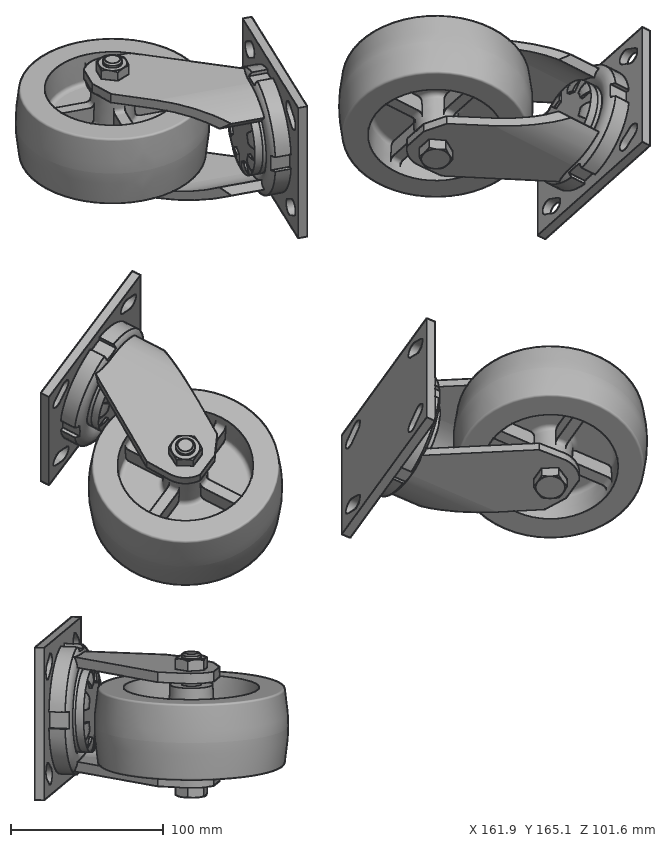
import cadquery as cq
import math


plate_length = 114.3
plate_height = 101.6
plate_thickness = 6.35
slot_width = 11.1125
slot_inner = (38.1, 38.1)
slot_outer = (46.04, 33.34)

race_radius = 42.86
race_wall_end = -17.2
race_crest = -20.6
race_hub_end = -20.9
notch_width = 11.2
notch_flat_distance = 39.8

cap_radius = 55.88 / 2
cap_rim = -26.4
cap_face = -28.1
cap_face_radius = 22.0
cap_shoulder = (25.0, -27.5)
cap_slot_width = 8.9
cap_slot_count = 8
cap_recess_radius = 19.05

wheel_x = -41.275
wheel_y = -101.6
wheel_radius = 63.5
wheel_half_width = 25.4
tread_edge_radius = 61.4
tread_edge_fillet = 1.6
rim_inner_radius = 44.45
web_half_thickness = 3.175
pocket_fillet = 3.175
pocket_draft = 2
hub_radius = 14.1
hub_half_length = 27.3
rib_width = 7.7
rib_half_height = 15.9

axle_radius = 12.7 / 2
hex_flats = 19.05
head_height = 8.4
nut_height = 7.4
axle_tip = 48.4
axle_tip_chamfer = 1.3
hex_chamfer_angle = 30

leg_outer = 76.2 / 2
leg_thickness = 6.75
leg_bend_radius = race_radius
leg_bend_end = 27.7
leg_end_radius = 19.05
leg_foot = wheel_y - 16.9
leg_foot_end_x = -32.2
leg_heel = (-16.8, -110.9)
leg_front_top_y = -42.7
leg_back_corner = (-59.6, -83.0)
leg_back_top = (-18.3, -18.7)


def revolved_about_swivel(profile):
    return profile.close().revolve(360, (0, 0, 0), (0, 1, 0))


def make_plate():
    plate = (
        cq.Workplane("XY")
        .box(plate_length, plate_thickness, plate_height)
        .translate((0, -plate_thickness / 2, 0))
    )
    run = slot_outer[0] - slot_inner[0]
    rise = slot_outer[1] - slot_inner[1]
    slot = (
        cq.Workplane("XZ")
        .slot2D(math.hypot(run, rise) + slot_width, slot_width, math.degrees(math.atan2(rise, run)))
        .extrude(plate_thickness)
        .translate((slot_inner[0] + run / 2, 0, slot_inner[1] + rise / 2))
    )
    for cutter in (slot, slot.mirror("YZ")):
        plate = plate.cut(cutter).cut(cutter.mirror("XY"))
    return plate


def make_raceway():
    crest_radius = (race_radius + cap_radius) / 2
    ring = revolved_about_swivel(
        cq.Workplane("XY")
        .moveTo(0, -plate_thickness)
        .lineTo(race_radius, -plate_thickness)
        .lineTo(race_radius, race_wall_end)
        .threePointArc((crest_radius, race_crest), (cap_radius, race_wall_end))
        .lineTo(cap_radius, race_hub_end)
        .lineTo(0, race_hub_end)
    )
    notch_depth = race_radius - notch_flat_distance
    notch_length = -race_crest
    notch = (
        cq.Workplane("XY")
        .box(2 * notch_depth, 2 * notch_length, notch_width)
        .translate((notch_flat_distance + notch_depth, -plate_thickness, 0))
    )
    for quarter in range(4):
        ring = ring.cut(notch.rotate((0, 0, 0), (0, 1, 0), 90 * quarter))
    return ring


def make_leg():
    """Upper leg (+Z): a bent plate trimmed to the outline of the leg."""
    bend_centre = leg_outer - leg_bend_radius
    end_angle = math.asin(leg_bend_end / leg_bend_radius)

    def on_bend(radius, angle):
        return (radius * math.sin(angle), bend_centre + radius * math.cos(angle))

    inner_radius = leg_bend_radius - leg_thickness
    leg_back = wheel_x - 2 * leg_end_radius
    bent_plate = (
        cq.Workplane("XZ")
        .moveTo(leg_back, leg_outer)
        .lineTo(0, leg_outer)
        .threePointArc(on_bend(leg_bend_radius, end_angle / 2), on_bend(leg_bend_radius, end_angle))
        .lineTo(*on_bend(inner_radius, end_angle))
        .threePointArc(on_bend(inner_radius, end_angle / 2), (0, leg_outer - leg_thickness))
        .lineTo(leg_back, leg_outer - leg_thickness)
        .close()
        .extrude(-leg_foot)
    )
    foot_drop = wheel_y - leg_foot
    foot_start_x = wheel_x - math.sqrt(leg_end_radius**2 - foot_drop**2)
    mid_angle = math.asin(foot_drop / leg_end_radius) / 2
    corner_offset = (wheel_x - leg_back_corner[0], leg_back_corner[1] - wheel_y)
    tangent_angle = math.atan2(corner_offset[1], corner_offset[0]) - math.acos(
        leg_end_radius / math.hypot(*corner_offset)
    )
    end_start = (
        wheel_x - leg_end_radius * math.cos(tangent_angle),
        wheel_y + leg_end_radius * math.sin(tangent_angle),
    )
    end_middle = (
        wheel_x - leg_end_radius * math.cos(mid_angle),
        wheel_y - leg_end_radius * math.sin(mid_angle),
    )
    back_slope = (leg_back_top[0] - leg_back_corner[0]) / (leg_back_top[1] - leg_back_corner[1])
    leg_top_x = leg_back_top[0] + back_slope * (race_wall_end - leg_back_top[1])
    outline = (
        cq.Workplane("XY")
        .moveTo(leg_top_x, race_wall_end)
        .lineTo(*leg_back_corner)
        .lineTo(*end_start)
        .threePointArc(end_middle, (foot_start_x, leg_foot))
        .lineTo(leg_foot_end_x, leg_foot)
        .lineTo(*leg_heel)
        .lineTo(leg_bend_end, leg_front_top_y)
        .lineTo(leg_bend_end, race_wall_end)
        .close()
        .extrude(leg_outer)
    )
    axle_hole = axle_rod(axle_radius, 0, axle_tip)
    return bent_plate.intersect(outline).cut(axle_hole)


def make_fork():
    leg = make_leg()
    return make_raceway().union(leg).union(leg.mirror("XY"))


def make_cap():
    cap = revolved_about_swivel(
        cq.Workplane("XY")
        .moveTo(0, race_hub_end)
        .lineTo(cap_radius, race_hub_end)
        .lineTo(cap_radius, cap_rim)
        .threePointArc(cap_shoulder, (cap_face_radius, cap_face))
        .lineTo(0, cap_face)
    )
    crown_height = cap_rim - cap_face
    recess = (
        cq.Workplane("XZ", origin=(0, cap_rim, 0))
        .circle(cap_recess_radius)
        .extrude(crown_height)
    )
    cap = cap.cut(recess)
    slot = (
        cq.Workplane("XY")
        .box(cap_radius, 2 * crown_height, cap_slot_width)
        .translate((cap_radius, cap_face, 0))
    )
    for step in range(cap_slot_count):
        cap = cap.cut(slot.rotate((0, 0, 0), (0, 1, 0), 360 / cap_slot_count * step))
    return cap


def axle_rod(radius, start, end):
    return (
        cq.Workplane("XY", origin=(wheel_x, wheel_y, start))
        .circle(radius)
        .extrude(end - start)
    )


def hub_radius_at(z):
    return hub_radius + (hub_half_length - z) * math.tan(math.radians(pocket_draft))


def rim_radius_at(z):
    return rim_inner_radius - (wheel_half_width - z) * math.tan(math.radians(pocket_draft))


def revolved_about_axle(profile):
    return profile.close().revolve(360, (0, 0, 0), (0, 1, 0))


def make_pocket(floor):
    """Ring-shaped pocket between hub and rim, open at the side face, with rounded floor corners."""
    pocket = revolved_about_axle(
        cq.Workplane("XZ")
        .moveTo(hub_radius_at(floor), floor)
        .lineTo(rim_radius_at(floor), floor)
        .lineTo(rim_radius_at(hub_half_length), hub_half_length)
        .lineTo(hub_radius, hub_half_length)
    )
    return pocket.faces("<Z").edges().fillet(pocket_fillet)


def make_wheel():
    tread_edge = wheel_half_width - tread_edge_fillet
    crown = wheel_radius - tread_edge_radius
    arc_radius = (tread_edge**2 + crown**2) / (2 * crown)
    middle_z = tread_edge / 2
    middle_radius = wheel_radius - arc_radius + math.sqrt(arc_radius**2 - middle_z**2)

    face_radius = tread_edge_radius - tread_edge_fillet
    diagonal = tread_edge_fillet * math.sqrt(0.5)
    hub_blank_radius = hub_radius + pocket_fillet
    half = revolved_about_axle(
        cq.Workplane("XZ")
        .moveTo(axle_radius, 0)
        .lineTo(axle_radius, hub_half_length)
        .lineTo(hub_blank_radius, hub_half_length)
        .lineTo(hub_blank_radius, wheel_half_width)
        .lineTo(face_radius, wheel_half_width)
        .threePointArc(
            (face_radius + diagonal, tread_edge + diagonal), (tread_edge_radius, tread_edge)
        )
        .threePointArc((middle_radius, middle_z), (wheel_radius, 0))
    )
    deep_pocket = make_pocket(web_half_thickness)
    rib_space = deep_pocket.cut(make_pocket(rib_half_height))
    half = half.cut(deep_pocket)
    for length, width in ((2 * wheel_radius, rib_width), (rib_width, 2 * wheel_radius)):
        bar = cq.Workplane("XY").box(length, width, 2 * wheel_half_width)
        half = half.union(rib_space.intersect(bar))
    return half.union(half.mirror("XY"), clean=False).translate((wheel_x, wheel_y, 0))


def make_hex(height):
    """Hexagon standing on Z = 0, its top corners cut by a cone."""
    corner_radius = hex_flats / math.sqrt(3)
    flat_radius = hex_flats / 2
    drop = (corner_radius - flat_radius) * math.tan(math.radians(hex_chamfer_angle))
    prism = cq.Workplane("XY").polygon(6, 2 * corner_radius).extrude(height)
    envelope = (
        cq.Workplane("XZ")
        .lineTo(corner_radius, 0)
        .lineTo(corner_radius, height - drop)
        .lineTo(flat_radius, height)
        .lineTo(0, height)
        .close()
        .revolve(360, (0, 0, 0), (0, 1, 0))
    )
    return prism.intersect(envelope)


def make_bolt():
    shank = axle_rod(axle_radius, -leg_outer, axle_tip).faces(">Z").chamfer(axle_tip_chamfer)
    head = make_hex(head_height).mirror("XY").translate((wheel_x, wheel_y, -leg_outer))
    return shank.union(head)


def make_nut():
    nut = make_hex(nut_height).translate((wheel_x, wheel_y, leg_outer))
    return nut.cut(axle_rod(axle_radius, 0, axle_tip))


plate = make_plate()
fork = make_fork()
cap = make_cap()
wheel = make_wheel()
bolt = make_bolt()
nut = make_nut()

result = cq.Compound.makeCompound(
    [plate.val(), fork.val(), cap.val(), wheel.val(), bolt.val(), nut.val()]
)